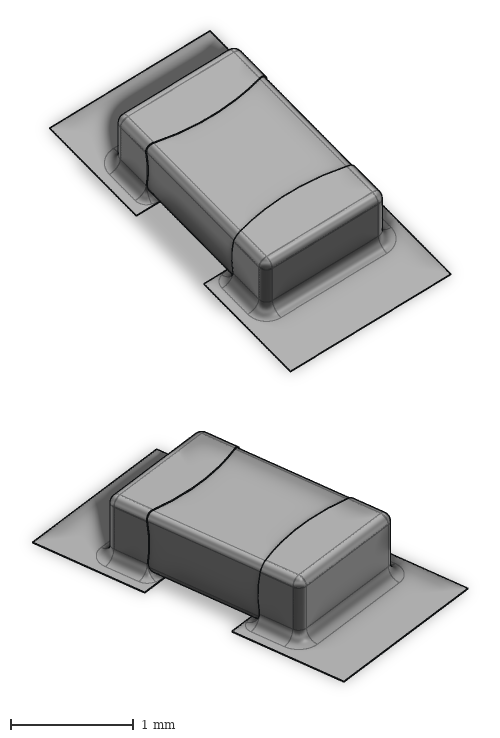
import cadquery as cq
import math

overall_length = 3.2
pad_length = 1.152
pad_width = 1.65
pad_thickness = 0.01

cap_span = 2.0
cap_width = 1.25
cap_height = 0.61
cap_radius = 0.08
plating = 0.01

crown_peak = 0.47
crown_width_sag = 0.09
crown_height_sag = 0.04

solder_radius = 0.112
inner_corner_radius = 0.003

cap_mid_height = pad_thickness + cap_height / 2
half_length = overall_length / 2


def arc_radius(half_chord, sag):
    """Radius of the arc with the given half chord and sag."""
    return (half_chord ** 2 + sag ** 2) / (2 * sag)


def make_body():
    """Chip body: a block rounded on all edges, running inside both caps."""
    return (
        cq.Workplane("XY")
        .box(cap_span - 2 * plating, cap_width - 2 * plating, cap_height - 2 * plating)
        .edges()
        .fillet(cap_radius - plating)
        .translate((0, 0, cap_mid_height))
    )


def make_crown():
    """Doubly curved solid whose right-hand surface trims the left cap's inner edge."""
    half_width = cap_width / 2
    width_radius = arc_radius(half_width, crown_width_sag)
    height_radius = arc_radius(cap_height / 2, crown_height_sag)
    reach = half_width + 0.032
    reach_sag = width_radius - math.sqrt(width_radius ** 2 - reach ** 2)
    peak = -crown_peak
    axis = peak - height_radius
    return (
        cq.Workplane("XY")
        .moveTo(axis, -reach)
        .lineTo(peak - reach_sag, -reach)
        .threePointArc((peak, 0), (peak - reach_sag, reach))
        .lineTo(axis, reach)
        .close()
        .revolve(360, (axis, 0, 0), (axis, 1, 0))
        .translate((0, 0, cap_mid_height))
    )


def make_solder_foot():
    """Slab carrying a low block with the cap's footprint and the solder fillet around it."""
    half_width = cap_width / 2
    outer_end = -cap_span / 2
    foot_height = solder_radius + plating
    crown_fall = crown_height_sag * (1 - 2 * foot_height / cap_height) ** 2
    inner_middle = -crown_peak - crown_fall
    inner_corner = inner_middle - crown_width_sag
    block = (
        cq.Workplane("XY")
        .moveTo(outer_end, -half_width)
        .lineTo(inner_corner, -half_width)
        .threePointArc((inner_middle, 0), (inner_corner, half_width))
        .lineTo(outer_end, half_width)
        .close()
        .extrude(pad_thickness + foot_height)
        .edges("|Z and <X")
        .fillet(cap_radius)
        .edges("|Z").edges(">X")
        .fillet(inner_corner_radius)
    )
    slab = (
        cq.Workplane("XY")
        .box(overall_length, pad_width, pad_thickness, centered=(True, True, False))
    )
    block_base = cq.selectors.BoxSelector(
        (-half_length + 0.032, -cap_width / 2 - 0.032, pad_thickness - plating / 2),
        (half_length - 0.032, cap_width / 2 + 0.032, pad_thickness + plating / 2),
        boundingbox=True,
    )
    return slab.union(block).edges(block_base).fillet(solder_radius)


def make_left_terminal(body):
    """Pad, solder fillet and plated cap in one piece, hollowed to fit the body."""
    cap = (
        cq.Workplane("XY")
        .box(cap_span, cap_width, cap_height)
        .edges("|Z or >Z")
        .fillet(cap_radius)
        .translate((0, 0, cap_mid_height))
        .intersect(make_crown())
    )
    foot = make_solder_foot()
    pad_space = (
        cq.Workplane("XY")
        .box(pad_length, pad_width, pad_thickness + cap_height, centered=(False, True, False))
        .translate((-half_length, 0, 0))
    )
    return foot.intersect(pad_space).union(cap).cut(body)


body = make_body()
left_terminal = make_left_terminal(body)
terminals = [left_terminal.rotate((0, 0, 0), (0, 0, 1), angle) for angle in (0, 180)]

result = cq.Compound.makeCompound([body.val(), *[terminal.val() for terminal in terminals]])